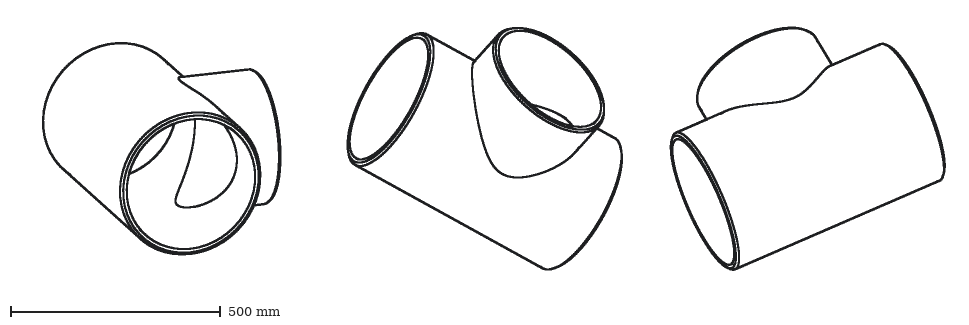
import cadquery as cq

run_length = 559.0
run_diameter = 355.5
run_wall = 15.0

branch_reach = 270.0
branch_diameter = 324.0
branch_wall = 13.0

bevel_length = 5.5
land_width = 9.0


def beveled_pipe_end(outer_diameter, wall, length):
    """Solid cylinder along its local Z with the far end beveled."""
    bevel_depth = wall - land_width
    cylinder = cq.Solid.makeCylinder(outer_diameter / 2, length - bevel_length)
    bevel = cq.Solid.makeCone(
        outer_diameter / 2,
        outer_diameter / 2 - bevel_depth,
        bevel_length,
        pnt=cq.Vector(0, 0, length - bevel_length),
    )
    return cq.Workplane(cylinder).union(cq.Workplane(bevel))


def bore(outer_diameter, wall, length):
    """Inner cylinder of a pipe, along its local Z."""
    return cq.Workplane("XY").circle(outer_diameter / 2 - wall).extrude(length)


def along_y(body):
    return body.rotate((0, 0, 0), (1, 0, 0), -90)


def along_x(body):
    return body.rotate((0, 0, 0), (0, 1, 0), 90)


run_half = along_x(beveled_pipe_end(run_diameter, run_wall, run_length / 2))
run = run_half.union(run_half.mirror("YZ"))
run_bore = along_x(bore(run_diameter, run_wall, run_length)).translate((-run_length / 2, 0, 0))

branch = along_y(beveled_pipe_end(branch_diameter, branch_wall, branch_reach))
branch_bore = along_y(bore(branch_diameter, branch_wall, branch_reach))

result = run.union(branch).cut(run_bore).cut(branch_bore)